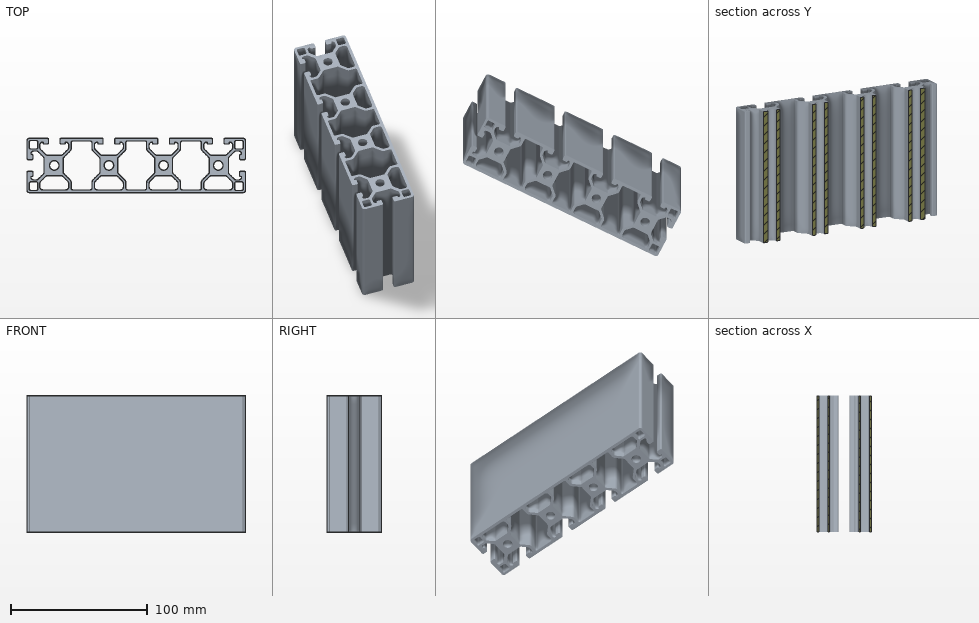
import math

import cadquery as cq

cell = 40.0
cell_count = 4
depth = cell
width = cell * cell_count
length = 100.0
outer_radius = 2.0

bore_diameter = 6.8
core_half = 7.6
core_flat_half = 5.85
floor_radius = 1.5

mouth_half = 4.15
mouth_radius = 1.0
lip_depth = 4.5
lip_radius = 1.0
notch_depth = 3.0
notch_half = 8.2
slot_half = 10.5
slot_radius = 2.0
slot_bend_radius = 2.0

face_wall = 2.2
chamber_radius = 2.0
hollow_core_half = 6.6
hollow_flat_half = 5.5
hollow_neck_half = 7.5
hollow_radius = 1.0
hollow_bend_radius = 3.0
hollow_core_radius = 0.5

corner_wall = 1.8
corner_hole = 6.1
corner_hole_radius = 1.0

half_depth = depth / 2
cell_centres = [(i - (cell_count - 1) / 2) * cell for i in range(cell_count)]
chamber_wall = half_depth - face_wall


def rounded_prism(corners):
    """Prism over a closed polygon of (x, y, radius) corners, each rounded by its radius."""
    runs = []
    for i, (x, y, radius) in enumerate(corners):
        corner = cq.Vector(x, y)
        before = (cq.Vector(*corners[i - 1][:2]) - corner).normalized()
        after = (cq.Vector(*corners[(i + 1) % len(corners)][:2]) - corner).normalized()
        if radius == 0:
            runs.append([corner])
            continue
        half_angle = before.getAngle(after) / 2
        setback = radius / math.tan(half_angle)
        bulge = radius / math.sin(half_angle) - radius
        middle = corner + (before + after).normalized() * bulge
        runs.append([corner + before * setback, middle, corner + after * setback])

    outline = cq.Workplane("XY").moveTo(*runs[0][-1].toTuple()[:2])
    for run in runs[1:] + runs[:1]:
        outline = outline.lineTo(*run[0].toTuple()[:2])
        if len(run) > 1:
            outline = outline.threePointArc(run[1].toTuple()[:2], run[2].toTuple()[:2])
    return outline.wire().extrude(length)


def mirrored(half):
    """Closes a half outline, given for positive x, with its mirror image."""
    return half + [(-x, y, radius) for x, y, radius in reversed(half)]


def slot_floor():
    """Half of the slot floor and its 45 degree side, up to the side wall."""
    bend_y = core_half + slot_half - core_flat_half
    return [(core_flat_half, core_half, floor_radius), (slot_half, bend_y, slot_bend_radius)]


def t_slot():
    """T-slot of a cell at the origin, open towards +Y."""
    roof_y = half_depth - notch_depth
    lip_y = half_depth - lip_depth
    flare = mouth_half + 2 * mouth_radius
    half = slot_floor() + [
        (slot_half, roof_y, slot_radius),
        (notch_half, roof_y, 0),
        (notch_half, lip_y, lip_radius),
        (mouth_half, lip_y, lip_radius),
        (mouth_half, half_depth, mouth_radius),
        (flare, half_depth, 0),
        (flare, half_depth + mouth_radius, 0),
    ]
    return rounded_prism(mirrored(half))


def closed_chamber():
    """Chamber of a cell at the origin, shut by the outer wall on +Y."""
    return rounded_prism(mirrored(slot_floor() + [(slot_half, chamber_wall, chamber_radius)]))


def hollow():
    """Chamber between two cells, centred on the origin."""
    side_x = cell / 2 - hollow_core_half
    neck_y = hollow_flat_half + side_x - hollow_neck_half
    upper = [
        (side_x, hollow_flat_half, hollow_core_radius),
        (hollow_neck_half, neck_y, hollow_bend_radius),
        (hollow_neck_half, chamber_wall, hollow_radius),
    ]
    right = [(x, -y, radius) for x, y, radius in reversed(upper)] + upper
    return rounded_prism(mirrored(right))


def turned(shape, angle):
    return shape.rotate((0, 0, 0), (0, 0, 1), angle)


def at_x(shape, x):
    return shape.translate((x, 0, 0))


bar = cq.Workplane("XY").box(width, depth, length, centered=(True, True, False))
bar = bar.edges("|Z").fillet(outer_radius)

for x in cell_centres:
    bar = bar.cut(at_x(t_slot(), x))
    bar = bar.cut(at_x(turned(closed_chamber(), 180), x))
    bar = bar.cut(cq.Workplane("XY").center(x, 0).circle(bore_diameter / 2).extrude(length))

bar = bar.cut(at_x(turned(t_slot(), 90), cell_centres[0]))
bar = bar.cut(at_x(turned(t_slot(), -90), cell_centres[-1]))

for x in cell_centres[:-1]:
    bar = bar.cut(at_x(hollow(), x + cell / 2))

hole_inset = corner_wall + corner_hole / 2
corner_holes = (
    cq.Workplane("XY")
    .rect(width - 2 * hole_inset, depth - 2 * hole_inset, forConstruction=True)
    .vertices()
    .rect(corner_hole, corner_hole)
    .extrude(length)
    .edges("|Z")
    .fillet(corner_hole_radius)
)
result = bar.cut(corner_holes)